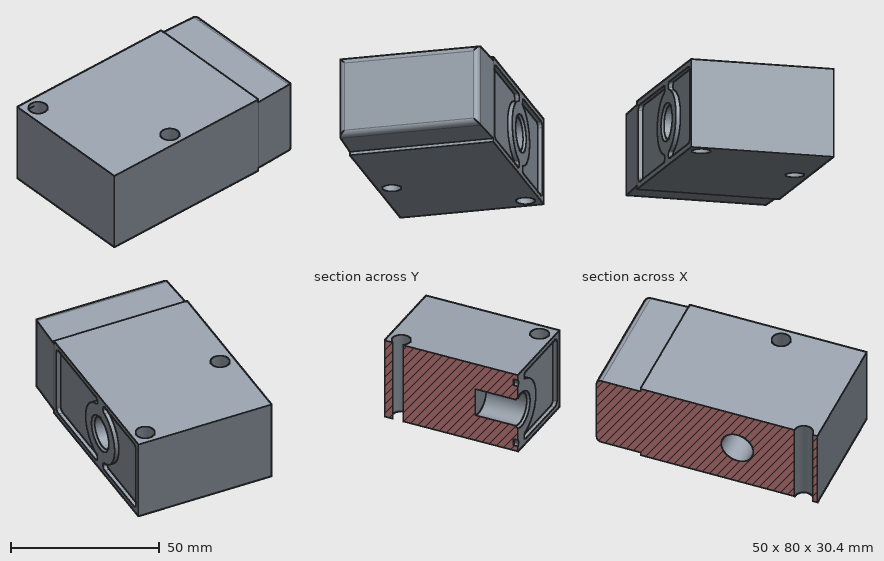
import cadquery as cq

width = 50.0
height = 30.4
total_length = 80.0
body_length = 64.0

cap_length = total_length - body_length
cap_height = 28.0
cap_side_taper = 0.6
cap_edge_radius = 2.0

mount_diameter = 6.5
mount_inset = width / 10
mount_pitch_y = 24.0

port_y = mount_inset + mount_pitch_y
port_z = height / 2
port_diameter = 11.4
port_mouth_diameter = 13.1
port_chamfer = (port_mouth_diameter - port_diameter) / 2
port_depth = 16.0

recess_depth = 1.6
recess_margin = 1.9
recess_corner_radius = 1.6
boss_diameter = 21.9
neck_width = 4.3
neck_fillet = 1.2


def make_body():
    return cq.Workplane("XY").box(width, body_length, height, centered=False)


def make_cap():
    """Cap narrowing in X towards the back, with its back edges rounded."""
    cap = (
        cq.Workplane("XY", origin=(0, body_length, (height - cap_height) / 2))
        .lineTo(width, 0)
        .lineTo(width - cap_side_taper, cap_length)
        .lineTo(cap_side_taper, cap_length)
        .close()
        .extrude(cap_height)
    )
    return cap.faces(">Y").edges().fillet(cap_edge_radius)


def make_mount_holes():
    centers = [
        (mount_inset, mount_inset),
        (width - mount_inset, mount_inset + mount_pitch_y),
    ]
    return cq.Workplane("XY").pushPoints(centers).circle(mount_diameter / 2).extrude(height)


def make_recess():
    """Two rounded pockets separated by the round boss and its necks."""
    panel_length = body_length - 2 * recess_margin
    panel_height = height - 2 * recess_margin
    panel = (
        cq.Workplane("YZ")
        .center(body_length / 2, height / 2)
        .rect(panel_length, panel_height)
        .extrude(recess_depth)
        .edges("|X")
        .fillet(recess_corner_radius)
    )
    boss_plane = cq.Workplane("YZ").center(port_y, port_z)
    boss = boss_plane.circle(boss_diameter / 2).extrude(recess_depth)
    neck = boss_plane.rect(neck_width, height).extrude(recess_depth)
    neck_zone = cq.selectors.BoxSelector(
        (-recess_depth, port_y - neck_width, 0),
        (2 * recess_depth, port_y + neck_width, height),
    )
    return panel.cut(boss.union(neck)).edges("|X").edges(neck_zone).fillet(neck_fillet)


def make_port():
    """Blind hole with a chamfered mouth."""
    return (
        cq.Workplane("XY", origin=(0, port_y, port_z))
        .lineTo(0, port_mouth_diameter / 2)
        .lineTo(port_chamfer, port_diameter / 2)
        .lineTo(port_depth, port_diameter / 2)
        .lineTo(port_depth, 0)
        .close()
        .revolve(360, (0, 0), (1, 0))
    )


result = make_body().union(make_cap()).cut(make_mount_holes()).cut(make_recess()).cut(make_port())